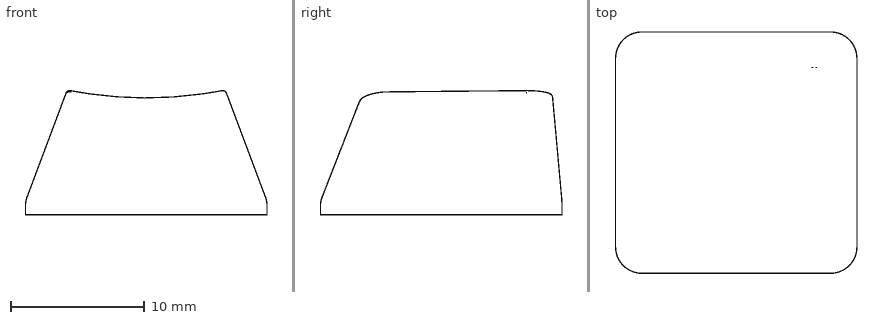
import cadquery as cq

BASE_SIZE = 18.16
BASE_CORNER_RADIUS = 2.0
SKIRT_HEIGHT = 0.75
BEND_HEIGHT = 0.56

BLANK_HEIGHT = 10.9
SIDE_SLOPE = 0.375
FRONT_SLOPE = 0.39
BACK_SLOPE = 0.09
TOP_CORNER_RADIUS = 1.92

DISH_HALF_LENGTH = 9.45
DISH_HALF_WIDTH = 8.17
DISH_FRONT_FLOOR = 7.9
DISH_BACK_FLOOR = 8.86
DISH_FRONT_RADIUS = 13.44
DISH_BACK_RADIUS = 32.69
DISH_CUT_TOP = BLANK_HEIGHT + 3.63
RIM_RADIUS = 0.3


def outline(height, run, corner_radius):
    """Rounded rectangle at a height, each side moved in by its slope times the run."""
    width = BASE_SIZE - 2 * SIDE_SLOPE * run
    front = -BASE_SIZE / 2 + FRONT_SLOPE * run
    back = BASE_SIZE / 2 - BACK_SLOPE * run
    center = cq.Vector(0, (front + back) / 2, height)
    sketch = cq.Sketch().rect(width, back - front).vertices().fillet(corner_radius)
    return sketch.moved(cq.Location(center))


def bend_outline(rise):
    """Outline inside the bend, where the sides lean in along a parabola."""
    run = rise**2 / (2 * BEND_HEIGHT)
    return outline(SKIRT_HEIGHT + rise, run, BASE_CORNER_RADIUS)


def make_blank():
    """Upright skirt, a smooth bend, and straight tapering sides."""
    base = outline(0, 0, BASE_CORNER_RADIUS)
    skirt = cq.Workplane("XY").placeSketch(base).extrude(SKIRT_HEIGHT)

    bend_start = bend_outline(0)
    bend_middle = bend_outline(BEND_HEIGHT / 2)
    bend_end = bend_outline(BEND_HEIGHT)
    bend = cq.Workplane("XY").placeSketch(bend_start, bend_middle, bend_end).loft()

    top_run = BLANK_HEIGHT - SKIRT_HEIGHT - BEND_HEIGHT / 2
    top = outline(BLANK_HEIGHT, top_run, TOP_CORNER_RADIUS)
    slopes = cq.Workplane("XY").placeSketch(bend_end, top).loft(ruled=True)
    return skirt.union(bend).union(slopes)


def dish_section(y, floor, radius):
    """Closed wire across the cap: an arc below and straight sides above."""
    arc_rise = radius - (radius**2 - DISH_HALF_WIDTH**2) ** 0.5
    section = (
        cq.Workplane("XZ", origin=(0, y, 0))
        .moveTo(-DISH_HALF_WIDTH, floor + arc_rise)
        .threePointArc((0, floor), (DISH_HALF_WIDTH, floor + arc_rise))
        .lineTo(DISH_HALF_WIDTH, DISH_CUT_TOP)
        .lineTo(-DISH_HALF_WIDTH, DISH_CUT_TOP)
        .close()
    )
    return section.val()


def make_dish_cutter():
    """Solid above the finger dish, lofted from front to back."""
    front = dish_section(-DISH_HALF_LENGTH, DISH_FRONT_FLOOR, DISH_FRONT_RADIUS)
    back = dish_section(DISH_HALF_LENGTH, DISH_BACK_FLOOR, DISH_BACK_RADIUS)
    return cq.Workplane(cq.Solid.makeLoft([front, back], True))


def make_keycap():
    """Tapered cap with a dished top and a rounded rim."""
    cap = make_blank().cut(make_dish_cutter())
    rim_zone = cq.selectors.BoxSelector(
        (-BASE_SIZE, -BASE_SIZE, DISH_FRONT_FLOOR),
        (BASE_SIZE, BASE_SIZE, BLANK_HEIGHT),
    )
    return cap.edges(rim_zone).fillet(RIM_RADIUS)


keycap = make_keycap()
result = cq.Compound.makeCompound([keycap.val()])